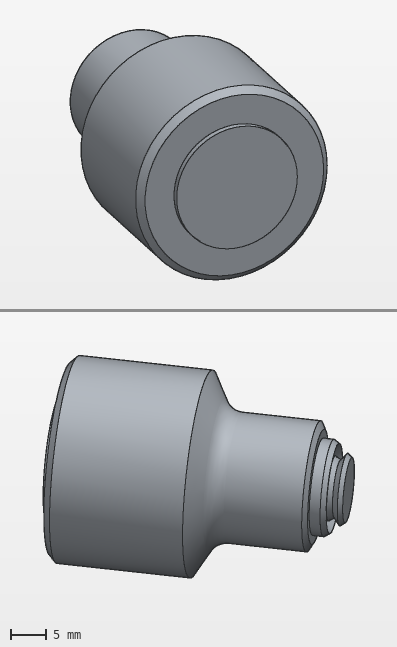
import cadquery as cq
import math

length = 42.65

tip_face_radius = 4.7
tip_rim_radius = 5.25
tip_rim_x = 0.7
waist_radius = 4.2
waist_x = 1.6
neck_radius = 4.7
neck_x = 2.4

collar_radius = 14.05 / 2
collar_lip_radius = 6.5
collar_face_x = 2.05
collar_bevel_length = 0.8
dish_floor_x = collar_face_x + collar_lip_radius - neck_radius

shank_radius = 18.9 / 2
shank_face_x = 4.45
shank_face_radius = 8.28
shank_bevel_length = 0.65
blend_start_x = 16.4
blend_radius = 3.1
shoulder_angle = math.radians(60)

body_radius = 29.95 / 2
body_chamfer = 1.02
boss_radius = 18.85 / 2
boss_length = 0.95
body_end_x = length - boss_length


def blend_point(angle):
    """Point on the concave blend where its tangent has turned by angle."""
    return (
        blend_start_x + blend_radius * math.sin(angle),
        shank_radius + blend_radius * (1 - math.cos(angle)),
    )


blend_end_x, blend_end_radius = blend_point(shoulder_angle)
shoulder_end_x = blend_end_x + (body_radius - blend_end_radius) / math.tan(shoulder_angle)

profile = (
    cq.Workplane("XY")
    .moveTo(0, 0)
    .lineTo(0, tip_face_radius)
    .lineTo(tip_rim_x, tip_rim_radius)
    .lineTo(waist_x, waist_radius)
    .lineTo(neck_x, neck_radius)
    .lineTo(dish_floor_x, neck_radius)
    .lineTo(collar_face_x, collar_lip_radius)
    .lineTo(collar_face_x + collar_bevel_length, collar_radius)
    .lineTo(shank_face_x, collar_radius)
    .lineTo(shank_face_x, shank_face_radius)
    .lineTo(shank_face_x + shank_bevel_length, shank_radius)
    .lineTo(blend_start_x, shank_radius)
    .threePointArc(blend_point(shoulder_angle / 2), (blend_end_x, blend_end_radius))
    .lineTo(shoulder_end_x, body_radius)
    .lineTo(body_end_x - body_chamfer, body_radius)
    .lineTo(body_end_x, body_radius - body_chamfer)
    .lineTo(body_end_x, boss_radius)
    .lineTo(length, boss_radius)
    .lineTo(length, 0)
    .close()
)

result = profile.revolve(360, (0, 0, 0), (1, 0, 0))